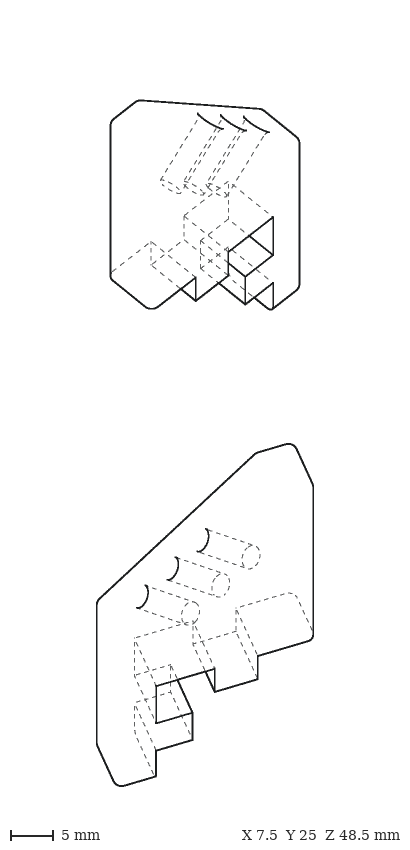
import cadquery as cq
import math

width = 7.5
depth = 25.0
height = 48.5
edge_radius = 1.05

top_length = 5.0
slope_run = depth - top_length
slope_foot_z = height - slope_run

leg_thickness = 5.0
shelf_z = 18.5
tab_offset = 7.3
tab_width = 5.4
tab_length = 4.55

hole_count = 3
hole_diameter = 2.8
hole_depth = 9.7
mouth_radius = 1.05
hole_pitch_y = 3.8

back_y = depth / 2
front_y = -depth / 2
leg_inner_y = back_y - leg_thickness


def make_block(y_min, y_max, z_min, z_max):
    """Full-width block between the given Y and Z limits."""
    return cq.Workplane("XY").box(width, y_max - y_min, z_max - z_min).translate(
        (0, (y_min + y_max) / 2, (z_min + z_max) / 2)
    )


def make_rounded_body():
    """Upright slab with a sloped back corner, rounded on every edge."""
    outline = [
        (front_y, 0),
        (back_y, 0),
        (back_y, slope_foot_z),
        (front_y + top_length, height),
        (front_y, height),
    ]
    slab = cq.Workplane("YZ").polyline(outline).close().extrude(width / 2, both=True)
    return slab.edges().fillet(edge_radius)


def make_notch():
    """Lower front corner to remove, less the tab on the shelf and the tab on the leg."""
    shelf_tab_y = leg_inner_y - tab_offset
    leg_tab_z = shelf_z - tab_offset
    notch = make_block(front_y, leg_inner_y, 0, shelf_z)
    shelf_tab = make_block(shelf_tab_y - tab_width, shelf_tab_y, shelf_z - tab_length, shelf_z)
    leg_tab = make_block(leg_inner_y - tab_length, leg_inner_y, leg_tab_z - tab_width, leg_tab_z)
    return notch.cut(shelf_tab).cut(leg_tab)


def make_hole_cutter():
    """Blind hole with a rounded mouth, centred on the origin and running along -Z."""
    bore_radius = hole_diameter / 2
    mouth_mid = mouth_radius * (1 - math.sqrt(0.5))
    return (
        cq.Workplane("XZ")
        .moveTo(0, 0)
        .lineTo(bore_radius + mouth_radius, 0)
        .threePointArc((bore_radius + mouth_mid, -mouth_mid), (bore_radius, -mouth_radius))
        .lineTo(bore_radius, -hole_depth)
        .lineTo(0, -hole_depth)
        .close()
        .revolve(360, (0, 0, 0), (0, 1, 0))
    )


result = make_rounded_body().cut(make_notch())

tilted_cutter = make_hole_cutter().rotate((0, 0, 0), (1, 0, 0), -45)
for index in range(hole_count):
    distance_from_back = (index + 1) * hole_pitch_y
    mouth_center = (0, back_y - distance_from_back, slope_foot_z + distance_from_back)
    result = result.cut(tilted_cutter.translate(mouth_center))